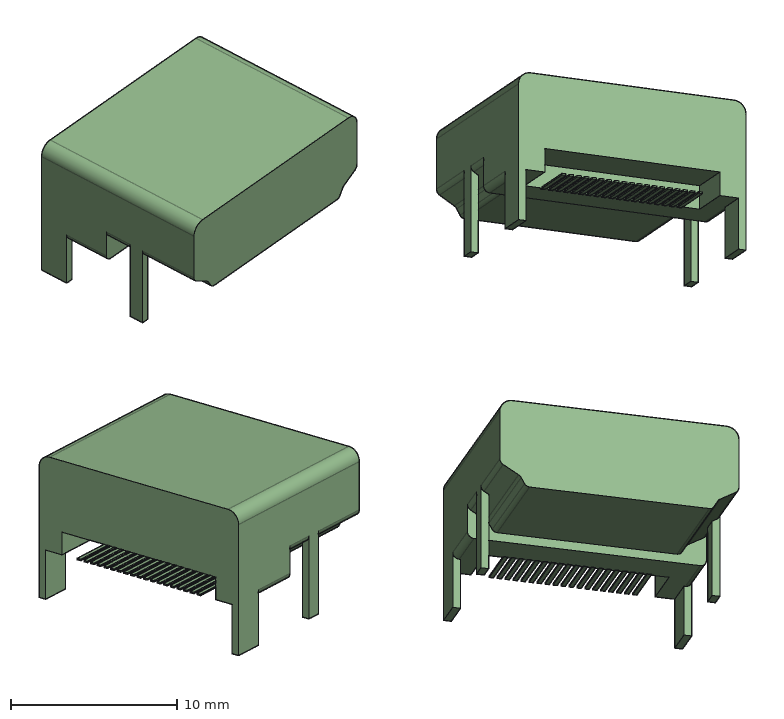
import cadquery as cq
import math

length = 12.15
width = 15.0
height = 9.38
half_width = width / 2
top_radius = 0.8

rear_length = 5.18
rear_bottom = 3.22
rear_edge_radius = 0.4

side_corner_z = 5.19
shoulder_foot_z = 4.45
shell_bottom = 3.8
shoulder_angle = 30
skirt_angle = 60
shoulder_radius = 0.4
shoulder_foot_radius = 0.45
skirt_radius = 0.36

leg_thickness = 0.5
rear_leg_length = 2.01
front_leg_start = 7.06
front_leg_length = 0.99
front_leg_top = side_corner_z + shoulder_radius

window_width = 11.55
window_height = 1.48
window_depth = 3.0

tail_count = 19
tail_span = 9.0
tail_pitch = tail_span / (tail_count - 1)
tail_width = 0.27
tail_thickness = 0.1
tail_drop = 0.03
tail_root = 0.15


def box_at(start_x, size_x, size_y, bottom_z, top_z):
    """Box centred on the XZ plane, starting at start_x and spanning bottom_z to top_z."""
    box = cq.Workplane("XY").box(size_x, size_y, top_z - bottom_z, centered=(False, True, False))
    return box.translate((start_x, 0, bottom_z))


def run_for_drop(drop, angle):
    """Horizontal run of a slope that falls by drop at the given angle from horizontal."""
    return drop / math.tan(math.radians(angle))


def make_shell():
    """Full-length D-shaped body, mirror-symmetric about the XZ plane."""
    shoulder_foot_y = half_width - run_for_drop(side_corner_z - shoulder_foot_z, shoulder_angle)
    bottom_y = shoulder_foot_y - run_for_drop(shoulder_foot_z - shell_bottom, skirt_angle)
    corners = [
        (half_width, height),
        (half_width, side_corner_z),
        (shoulder_foot_y, shoulder_foot_z),
        (bottom_y, shell_bottom),
    ]
    mirrored_corners = [(-y, z) for y, z in reversed(corners)]
    shell = cq.Workplane("YZ").polyline(corners + mirrored_corners).close().extrude(length)

    radii = [top_radius, shoulder_radius, shoulder_foot_radius, skirt_radius]
    for (y, z), radius in zip(corners, radii):
        for side in (-1, 1):
            corner_edge = cq.selectors.NearestToPointSelector((length / 2, side * y, z))
            shell = shell.edges(corner_edge).fillet(radius)
    return shell


def make_rear_block():
    """Housing block: square lower edges above the rear legs, rounded ones further forward."""
    square_part = box_at(0, rear_leg_length, width, rear_bottom, height)
    square_part = square_part.edges("|X and >Z").fillet(top_radius)
    rounded_part = box_at(rear_leg_length, rear_length - rear_leg_length, width, rear_bottom, height)
    rounded_part = rounded_part.edges("|X and >Z").fillet(top_radius)
    rounded_part = rounded_part.edges("|X and <Z").fillet(rear_edge_radius)
    return square_part.union(rounded_part)


def make_leg_pair(start_x, leg_length, top_z):
    """Two legs flush with the outer side walls."""
    leg_y = half_width - leg_thickness / 2
    leg = box_at(start_x, leg_length, leg_thickness, 0, top_z)
    return leg.translate((0, -leg_y, 0)).union(leg.translate((0, leg_y, 0)))


def make_window():
    """Opening in the rear wall, open downwards."""
    return box_at(0, window_depth, window_width, rear_bottom, rear_bottom + window_height)


def make_tail(index):
    """One flat contact tail, its tip flush with the rear wall."""
    tail_y = (index - (tail_count - 1) / 2) * tail_pitch
    tail_bottom = rear_bottom - tail_drop
    tail = box_at(0, window_depth + tail_root, tail_width, tail_bottom, tail_bottom + tail_thickness)
    return tail.translate((0, tail_y, 0))


result = make_shell().union(make_rear_block()).cut(make_window())
result = result.union(make_leg_pair(0, rear_leg_length, rear_bottom))
result = result.union(make_leg_pair(front_leg_start, front_leg_length, front_leg_top))
for tail_index in range(tail_count):
    result = result.union(make_tail(tail_index))